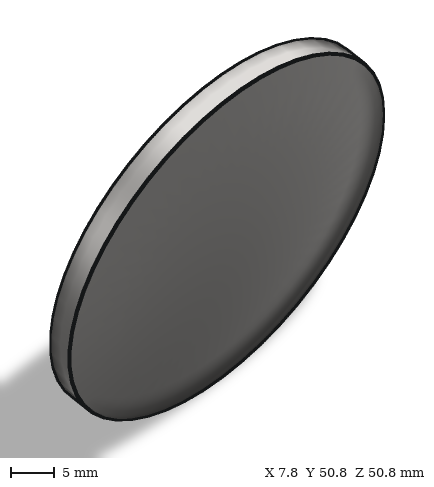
import cadquery as cq

diameter = 50.8
center_thickness = 7.8
edge_thickness = 3.3
rim_bevel = 0.15

radius = diameter / 2
dome_rim_radius = radius - rim_bevel
half_center = center_thickness / 2
half_edge = edge_thickness / 2
half_land = half_edge - rim_bevel

dome_height = half_center - half_edge
dome_radius = (dome_rim_radius**2 + dome_height**2) / (2 * dome_height)

mid_radius = dome_rim_radius / 2
mid_x = half_center - dome_radius + (dome_radius**2 - mid_radius**2) ** 0.5

result = (
    cq.Workplane("XY")
    .moveTo(-half_center, 0)
    .threePointArc((-mid_x, mid_radius), (-half_edge, dome_rim_radius))
    .lineTo(-half_land, radius)
    .lineTo(half_land, radius)
    .lineTo(half_edge, dome_rim_radius)
    .threePointArc((mid_x, mid_radius), (half_center, 0))
    .close()
    .revolve(360, (0, 0, 0), (1, 0, 0))
)